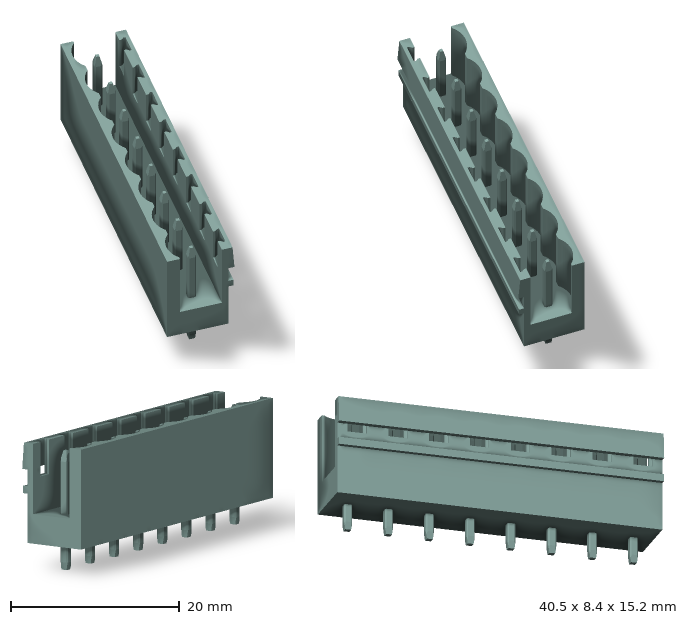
import cadquery as cq


length = 40.45
height = 12.05
floor_height = 3.55
front_wall = 1.6
back_inner_y = 6.85
back_outer_y = 7.7
hook_top_y = 8.15
hook_tip_y = 8.4
hook_bottom = 8.85
rib_y = 8.3
rib_bottom = 5.95
rib_top = 6.85

pin_count = 8
first_pin_x = 2.43
row_span = 35.55
pitch = row_span / (pin_count - 1)
pin_y = 3.8
pin_x_positions = [first_pin_x + i * pitch for i in range(pin_count)]

pin_width = 1.0
pin_edge_chamfer = 0.15
pin_bottom = -3.15
pin_top = 11.25
lower_taper = 0.95
upper_taper = 1.35
lower_tip_width = 0.73
upper_tip_width = 0.4

scallop_radius = 3.07

slot_bottom = 7.9
slot_neck_width = 1.8
slot_back_width = 2.4
slot_flare_y = 7.1
slot_flare_end_y = 7.45


def make_shell():
    """U-shaped housing with a hook and a rib along the outside of its back wall."""
    profile = [
        (0, 0),
        (back_outer_y, 0),
        (back_outer_y, rib_bottom),
        (rib_y, rib_bottom),
        (rib_y, rib_top),
        (back_outer_y, rib_top),
        (back_outer_y, hook_bottom),
        (hook_tip_y, hook_bottom),
        (hook_top_y, height),
        (back_inner_y, height),
        (back_inner_y, floor_height),
        (front_wall, floor_height),
        (front_wall, height),
        (0, height),
    ]
    return cq.Workplane("YZ").polyline(profile).close().extrude(length)


def make_scallop(x):
    """Round clearance around one pin, from the channel floor to the top."""
    return (
        cq.Workplane("XY", origin=(x, pin_y, floor_height))
        .circle(scallop_radius)
        .extrude(height - floor_height)
        .intersect(cq.Workplane("XY").box(length, back_inner_y, height, centered=False))
    )


def make_slot(x):
    """Dovetail slot through the back wall, closed behind by the hook."""
    neck = slot_neck_width / 2
    back = slot_back_width / 2
    outline = [
        (x - neck, back_inner_y),
        (x + neck, back_inner_y),
        (x + neck, slot_flare_y),
        (x + back, slot_flare_end_y),
        (x + back, back_outer_y),
        (x - back, back_outer_y),
        (x - back, slot_flare_end_y),
        (x - neck, slot_flare_y),
    ]
    return (
        cq.Workplane("XY", origin=(0, 0, slot_bottom))
        .polyline(outline)
        .close()
        .extrude(height - slot_bottom)
    )


def make_tip(x, base_z, tip_z, tip_width):
    """Square pyramid frustum from the full pin width down to the tip width."""
    return (
        cq.Workplane("XY", origin=(x, pin_y, base_z))
        .rect(pin_width, pin_width)
        .workplane(offset=tip_z - base_z)
        .rect(tip_width, tip_width)
        .loft(ruled=True)
    )


def make_pin(x):
    """Square pin with chamfered long edges and a tapered tip at each end."""
    lower_shoulder = pin_bottom + lower_taper
    upper_shoulder = pin_top - upper_taper
    envelope = (
        cq.Workplane("XY", origin=(x, pin_y, lower_shoulder))
        .rect(pin_width, pin_width)
        .extrude(upper_shoulder - lower_shoulder)
        .union(make_tip(x, lower_shoulder, pin_bottom, lower_tip_width))
        .union(make_tip(x, upper_shoulder, pin_top, upper_tip_width))
    )
    bar = (
        cq.Workplane("XY", origin=(x, pin_y, pin_bottom))
        .rect(pin_width, pin_width)
        .extrude(pin_top - pin_bottom)
        .edges("|Z")
        .chamfer(pin_edge_chamfer)
    )
    return envelope.intersect(bar)


def make_housing(pins):
    """Shell with scallops, slots and a fitting hole for every pin."""
    housing = make_shell()
    for x, pin in zip(pin_x_positions, pins):
        housing = housing.cut(make_scallop(x)).cut(make_slot(x)).cut(pin)
    return housing


pins = [make_pin(x) for x in pin_x_positions]
housing = make_housing(pins)

result = cq.Compound.makeCompound([housing.val(), *[pin.val() for pin in pins]])